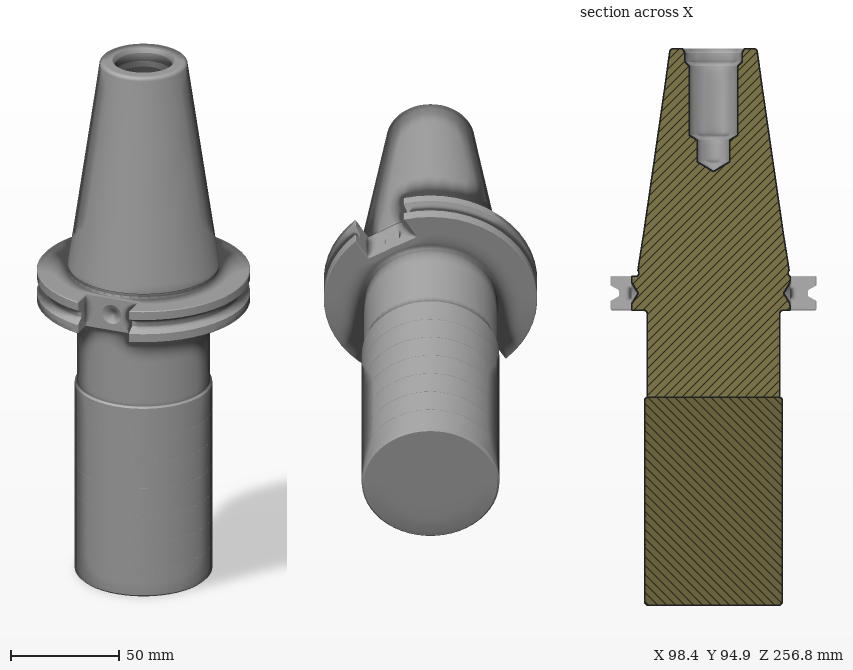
import cadquery as cq
import math


GAUGE_DIAMETER = 69.85
TAPER_LENGTH = 101.75
TAPER_RATIO = 7 / 24
TAPER_TIP_FILLET = 2.0
TAPER_OVERRUN = 0.6
UNDERCUT_DIAMETER = 69.15
UNDERCUT_FILLET = 0.9

FLANGE_DIAMETER = 98.425
FLANGE_TOP = -3.18
FLANGE_BOTTOM = -19.05
FLANGE_CHAMFER = 0.4
GROOVE_CENTER = -11.1
GROOVE_DEPTH = 3.8
GROOVE_ROOT_WIDTH = 2.8
GROOVE_FLANK_ANGLE = 30
GROOVE_ROOT_FILLET = 0.6

SLOT_WIDTH = 25.4
SLOT_CORNER_FILLET = 0.9
SLOT_CHAMFER = 0.39
FRONT_SLOT_FLOOR = 37.7
BACK_SLOT_FLOOR = 35.3
SLOTS = ((-1, FRONT_SLOT_FLOOR), (1, BACK_SLOT_FLOOR))
DIMPLE_DIAMETER = 9.52
DRILL_POINT_ANGLE = 118

MOUTH_DIAMETER = 28.6
COUNTERBORE_DIAMETER = 26.18
COUNTERBORE_DEPTH = 6.2
THREAD_BORE_DIAMETER = 22.25
THREAD_BORE_DEPTH = 40.0
PILOT_DIAMETER = 15.0
PILOT_LENGTH = 10.0
MOUTH_FLARE_ANGLE = 30

NECK_DIAMETER = 61.35
NECK_FILLET = 1.6
BAR_DIAMETER = 63.5
BAR_TOP = -59.25
BAR_BOTTOM = -155.0
BAR_TOP_CHAMFER = 0.75
BAR_BOTTOM_CHAMFER = 1.0
SEGMENT_LENGTH = 13.4
RING_LINE_COUNT = 6
RING_LINE_WIDTH = 0.25
RING_LINE_DEPTH = 0.1


def tangent(angle):
    return math.tan(math.radians(angle))


def make_turned_core():
    """Taper, undercut and neck turned as one piece."""
    overrun_radius = (GAUGE_DIAMETER + TAPER_OVERRUN * TAPER_RATIO) / 2
    tip_radius = (GAUGE_DIAMETER - TAPER_LENGTH * TAPER_RATIO) / 2
    undercut_radius = UNDERCUT_DIAMETER / 2
    undercut_top = -TAPER_OVERRUN - (overrun_radius - undercut_radius)
    neck_radius = NECK_DIAMETER / 2
    core = (
        cq.Workplane("XZ")
        .moveTo(0, BAR_TOP)
        .lineTo(neck_radius, BAR_TOP)
        .lineTo(neck_radius, FLANGE_BOTTOM - NECK_FILLET)
        .radiusArc((neck_radius + NECK_FILLET, FLANGE_BOTTOM), NECK_FILLET)
        .lineTo(undercut_radius + UNDERCUT_FILLET, FLANGE_BOTTOM)
        .lineTo(undercut_radius + UNDERCUT_FILLET, FLANGE_TOP)
        .radiusArc((undercut_radius, FLANGE_TOP + UNDERCUT_FILLET), UNDERCUT_FILLET)
        .lineTo(undercut_radius, undercut_top)
        .lineTo(overrun_radius, -TAPER_OVERRUN)
        .lineTo(tip_radius, TAPER_LENGTH)
        .lineTo(0, TAPER_LENGTH)
        .close()
        .revolve(360, (0, 0), (0, 1))
    )
    return core.faces(">Z").edges().fillet(TAPER_TIP_FILLET)


def make_flange():
    """Flange disc with two drive slots, rims chamfered, and the gripper groove around it."""
    flange = (
        cq.Workplane("XY")
        .workplane(offset=FLANGE_BOTTOM)
        .circle(FLANGE_DIAMETER / 2)
        .extrude(FLANGE_TOP - FLANGE_BOTTOM)
        .edges()
        .chamfer(FLANGE_CHAMFER)
    )
    for side, floor_distance in SLOTS:
        flange = flange.cut(make_drive_slot(side, floor_distance))
    return flange.cut(make_gripper_groove())


def make_gripper_groove():
    """Ring that cuts the V groove around the flange."""
    mouth_radius = FLANGE_DIAMETER / 2
    root_radius = mouth_radius - GROOVE_DEPTH
    root_half = GROOVE_ROOT_WIDTH / 2
    mouth_half = root_half + GROOVE_DEPTH * tangent(GROOVE_FLANK_ANGLE)
    ring = (
        cq.Workplane("XZ")
        .moveTo(root_radius, GROOVE_CENTER - root_half)
        .lineTo(mouth_radius, GROOVE_CENTER - mouth_half)
        .lineTo(mouth_radius, GROOVE_CENTER + mouth_half)
        .lineTo(root_radius, GROOVE_CENTER + root_half)
        .close()
        .revolve(360, (0, 0), (0, 1))
    )
    root_edges = cq.selectors.RadiusNthSelector(0)
    return ring.edges(root_edges).fillet(GROOVE_ROOT_FILLET)


def make_pull_stud_bore():
    """Stepped blind bore entering from the small end of the taper."""
    mouth = MOUTH_DIAMETER / 2
    counterbore = COUNTERBORE_DIAMETER / 2
    thread = THREAD_BORE_DIAMETER / 2
    flare_depth = (mouth - counterbore) / tangent(MOUTH_FLARE_ANGLE)
    shoulder = counterbore - thread
    pilot = PILOT_DIAMETER / 2
    cone_slope = 1 / tangent(DRILL_POINT_ANGLE / 2)
    pilot_start = THREAD_BORE_DEPTH + (thread - pilot) * cone_slope
    pilot_end = pilot_start + PILOT_LENGTH
    point_depth = pilot_end + pilot * cone_slope
    return (
        cq.Workplane("XZ")
        .moveTo(0, TAPER_LENGTH)
        .lineTo(mouth, TAPER_LENGTH)
        .lineTo(counterbore, TAPER_LENGTH - flare_depth)
        .lineTo(counterbore, TAPER_LENGTH - COUNTERBORE_DEPTH)
        .lineTo(thread, TAPER_LENGTH - COUNTERBORE_DEPTH - shoulder)
        .lineTo(thread, TAPER_LENGTH - THREAD_BORE_DEPTH)
        .lineTo(pilot, TAPER_LENGTH - pilot_start)
        .lineTo(pilot, TAPER_LENGTH - pilot_end)
        .lineTo(0, TAPER_LENGTH - point_depth)
        .close()
        .revolve(360, (0, 0), (0, 1))
    )


def make_drive_slot(side, floor_distance):
    """Slot cutter for the flange rim, flared along the wall edges; side is -1 for -Y, +1 for +Y."""
    half_width = SLOT_WIDTH / 2
    flared_half = half_width + SLOT_CHAMFER
    flange_radius = FLANGE_DIAMETER / 2
    rim_y = math.sqrt(flange_radius**2 - flared_half**2)
    height = FLANGE_TOP - FLANGE_BOTTOM

    slot = (
        cq.Workplane("XY")
        .workplane(offset=FLANGE_BOTTOM)
        .polyline([
            (-half_width, side * floor_distance),
            (half_width, side * floor_distance),
            (half_width, side * (rim_y - SLOT_CHAMFER)),
            (flared_half, side * rim_y),
            (flared_half, side * flange_radius),
            (-flared_half, side * flange_radius),
            (-flared_half, side * rim_y),
            (-half_width, side * (rim_y - SLOT_CHAMFER)),
        ])
        .close()
        .extrude(height)
    )
    floor_face = "<Y" if side > 0 else ">Y"
    slot = slot.faces(floor_face).edges("|Z").fillet(SLOT_CORNER_FILLET)

    for face_z, inward in ((FLANGE_TOP, -1), (FLANGE_BOTTOM, 1)):
        flare = (
            cq.Workplane("XZ", origin=(0, side * floor_distance, 0))
            .polyline([
                (-flared_half, face_z),
                (flared_half, face_z),
                (half_width, face_z + inward * SLOT_CHAMFER),
                (-half_width, face_z + inward * SLOT_CHAMFER),
            ])
            .close()
            .extrude(-side * (flange_radius - floor_distance))
        )
        slot = slot.union(flare)
    return slot


def make_dimple(side, floor_distance):
    """Conical drill point sunk into the floor of a slot."""
    radius = DIMPLE_DIAMETER / 2
    depth = radius / tangent(DRILL_POINT_ANGLE / 2)
    mouth = cq.Vector(0, side * floor_distance, GROOVE_CENTER)
    return cq.Workplane(cq.Solid.makeCone(radius, 0, depth, mouth, cq.Vector(0, -side, 0)))


def make_holder():
    holder = make_turned_core().union(make_flange()).cut(make_pull_stud_bore())
    for side, floor_distance in SLOTS:
        holder = holder.cut(make_dimple(side, floor_distance))
    return holder


def make_bar():
    """Cylindrical bar below the neck, scored by evenly spaced ring lines."""
    radius = BAR_DIAMETER / 2
    bar = cq.Workplane("XY").workplane(offset=BAR_BOTTOM).circle(radius).extrude(BAR_TOP - BAR_BOTTOM)
    bar = bar.faces(">Z").chamfer(BAR_TOP_CHAMFER).faces("<Z").chamfer(BAR_BOTTOM_CHAMFER)
    for index in range(RING_LINE_COUNT):
        line_middle = BAR_TOP - BAR_TOP_CHAMFER - (index + 1) * SEGMENT_LENGTH
        ring = (
            cq.Workplane("XY")
            .workplane(offset=line_middle - RING_LINE_WIDTH / 2)
            .circle(radius)
            .circle(radius - RING_LINE_DEPTH)
            .extrude(RING_LINE_WIDTH)
        )
        bar = bar.cut(ring)
    return bar


holder = make_holder()
bar = make_bar()
result = cq.Compound.makeCompound([holder.val(), bar.val()])